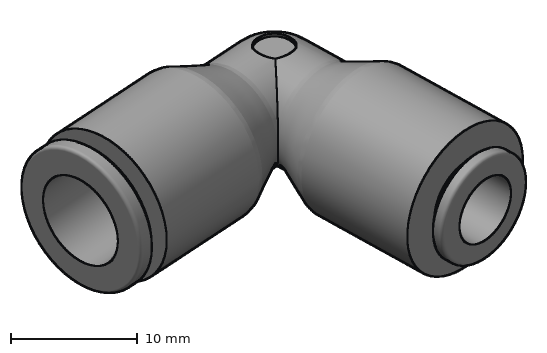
import cadquery as cq

BODY_DIAMETER = 13.5
ELBOW_RADIUS = 4.9
CONE_START = 4.8
CONE_END = 8.85
CONE_BLEND_RADIUS = 1.2
BODY_RADIUS = BODY_DIAMETER / 2
RIM_MARGIN = 1.0

OVERALL_X = 29.3
OVERALL_Y = 29.35
X_ARM_REACH = OVERALL_X - BODY_RADIUS
Y_ARM_REACH = OVERALL_Y - BODY_RADIUS

X_BODY_END = 20.4
X_NECK_RADIUS = 3.6
X_COLLAR_RADIUS = 4.95
X_COLLAR_THICKNESS = 1.25
X_COLLAR_CHAMFER = 0.2
X_BORE_RADIUS = 3.0

Y_BODY_END = 19.9
Y_NECK_RADIUS = 4.6
Y_COLLAR_RADIUS = 6.5
Y_COLLAR_THICKNESS = 1.55
Y_COLLAR_CHAMFER = 0.3
Y_BORE_RADIUS = 4.0

COLLAR_EDGE_RADIUS = 0.3

RECESS_RADIUS = 1.75
RECESS_FLOOR_Z = 4.3


def revolve_profile(profile):
    """Turn a closed (axial distance, radius) profile about the X axis."""
    return profile.close().revolve(360, (0, 0, 0), (1, 0, 0))


def make_body(body_end):
    """Solid arm body along +X: narrow tube, blended cone and wide barrel."""
    profile = (
        cq.Workplane("XY")
        .lineTo(0, ELBOW_RADIUS)
        .lineTo(CONE_START, ELBOW_RADIUS)
        .lineTo(CONE_END, BODY_RADIUS)
        .lineTo(body_end, BODY_RADIUS)
        .lineTo(body_end, 0)
    )
    cone_rims = cq.selectors.BoxSelector(
        (CONE_START - RIM_MARGIN, -BODY_DIAMETER, -BODY_DIAMETER),
        (CONE_END + RIM_MARGIN, BODY_DIAMETER, BODY_DIAMETER),
        boundingbox=True,
    )
    return revolve_profile(profile).edges(cone_rims).edges("%CIRCLE").fillet(CONE_BLEND_RADIUS)


def make_sleeve(body_end, reach, neck_radius, collar_radius, collar_thickness, collar_chamfer):
    """Solid release sleeve along +X: a neck and a collar, chamfered inside and rounded outside."""
    neck = (
        cq.Workplane("YZ")
        .workplane(offset=body_end)
        .circle(neck_radius)
        .extrude(reach - body_end)
    )
    collar = (
        cq.Workplane("YZ")
        .workplane(offset=reach - collar_thickness)
        .circle(collar_radius)
        .extrude(collar_thickness)
        .edges(">X")
        .fillet(COLLAR_EDGE_RADIUS)
        .edges("<X")
        .chamfer(collar_chamfer)
    )
    return neck.union(collar)


def make_bore(radius, reach):
    """Cylinder along +X from the elbow centre out to the end of an arm."""
    return cq.Workplane("YZ").circle(radius).extrude(reach)


def turn_to_minus_y(shape):
    """Swing a shape from the +X axis onto the -Y axis."""
    return shape.rotate((0, 0, 0), (0, 0, 1), -90)


def make_solid_elbow():
    """Both arms and their sleeves, joined by a spherical corner."""
    x_sleeve = make_sleeve(
        X_BODY_END, X_ARM_REACH, X_NECK_RADIUS, X_COLLAR_RADIUS, X_COLLAR_THICKNESS, X_COLLAR_CHAMFER
    )
    x_arm = make_body(X_BODY_END).union(x_sleeve)
    y_sleeve = make_sleeve(
        Y_BODY_END, Y_ARM_REACH, Y_NECK_RADIUS, Y_COLLAR_RADIUS, Y_COLLAR_THICKNESS, Y_COLLAR_CHAMFER
    )
    y_arm = make_body(Y_BODY_END).union(y_sleeve)
    corner = cq.Workplane("XY").sphere(ELBOW_RADIUS)
    return corner.union(x_arm).union(turn_to_minus_y(y_arm))


def make_passage():
    """Flow passage: both bores meeting in a spherical corner of the small bore's radius."""
    x_bore = make_bore(X_BORE_RADIUS, X_ARM_REACH)
    y_bore = turn_to_minus_y(make_bore(Y_BORE_RADIUS, Y_ARM_REACH))
    return cq.Workplane("XY").sphere(X_BORE_RADIUS).union(x_bore).union(y_bore)


def make_recess():
    """Flat-floored round recess, open upward."""
    return (
        cq.Workplane("XY")
        .workplane(offset=RECESS_FLOOR_Z)
        .circle(RECESS_RADIUS)
        .extrude(ELBOW_RADIUS)
    )


result = make_solid_elbow().cut(make_passage()).cut(make_recess())